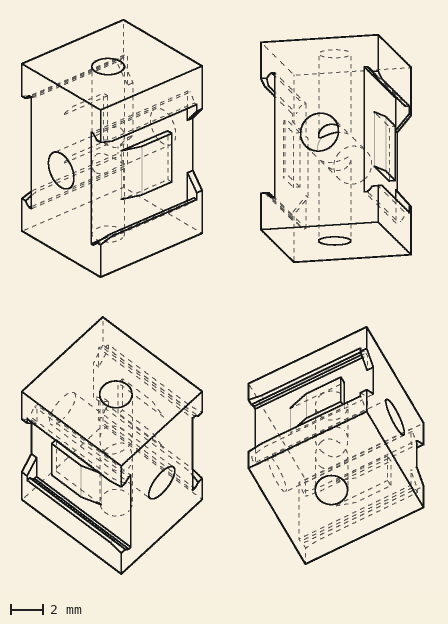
import cadquery as cq

width = 7.5
depth = 8.3
height = 12.0
half_width = width / 2
front_y = -depth / 2
back_y = depth / 2

groove_depth = 0.89
mouth_half_height = 3.41
floor_half_height = 4.0
lip_depth = 0.26
undercut_flat = 0.19
undercut_bulge = 0.05
floor_x = half_width - groove_depth

flare_length = 0.92
flare_rise = 0.26

wall_thickness = 0.45
gap_half_height_outer = 2.93
gap_half_height_inner = 1.88

pad_height = 0.41
pad_half_height = 1.74
pad_back_y = back_y - 2.06
pad_ramp_y = back_y - 4.51
pad_front_y = back_y - 5.85

cross_hole_diameter = 2.42
vertical_hole_diameter = 2.0
vertical_hole_y = -0.32


def extrude_along_y(profile, start_y, end_y):
    """Extrude a closed XZ profile between two Y positions."""
    return profile.extrude(start_y - end_y).translate((0, start_y, 0))


def groove():
    """Undercut groove on the +X side, open at the front."""
    lip_x = half_width - lip_depth
    flat_x = floor_x + undercut_flat
    arc_x = (lip_x + flat_x) / 2 + undercut_bulge
    arc_z = (mouth_half_height + floor_half_height) / 2 + undercut_bulge
    profile = (
        cq.Workplane("XZ")
        .moveTo(half_width, -mouth_half_height)
        .lineTo(half_width, mouth_half_height)
        .lineTo(lip_x, mouth_half_height)
        .threePointArc((arc_x, arc_z), (flat_x, floor_half_height))
        .lineTo(floor_x, floor_half_height)
        .lineTo(floor_x, -floor_half_height)
        .lineTo(flat_x, -floor_half_height)
        .threePointArc((arc_x, -arc_z), (lip_x, -mouth_half_height))
        .close()
    )
    return extrude_along_y(profile, front_y, back_y - wall_thickness)


def groove_flare():
    """Tapered widening of the groove at the front face."""
    flare_half_height = mouth_half_height + flare_rise
    flare_end_y = front_y + flare_length
    return (
        cq.Workplane("YZ", origin=(floor_x, 0, 0))
        .polyline([
            (front_y, -flare_half_height),
            (front_y, flare_half_height),
            (flare_end_y, mouth_half_height),
            (flare_end_y, -mouth_half_height),
        ])
        .close()
        .extrude(groove_depth)
    )


def wall_gap():
    """V-shaped gap through the end wall, narrowing towards the floor."""
    profile = (
        cq.Workplane("XZ")
        .polyline([
            (half_width, -gap_half_height_outer),
            (half_width, gap_half_height_outer),
            (floor_x, gap_half_height_inner),
            (floor_x, -gap_half_height_inner),
        ])
        .close()
    )
    return extrude_along_y(profile, back_y - wall_thickness, back_y)


def pad():
    """Raised pad on the +X groove floor."""
    pad_x = floor_x + pad_height
    return (
        cq.Workplane("XY")
        .polyline([
            (floor_x, pad_back_y),
            (pad_x, pad_back_y),
            (pad_x, pad_ramp_y),
            (floor_x, pad_front_y),
        ])
        .close()
        .extrude(pad_half_height, both=True)
    )


body = cq.Workplane("XY").box(width, depth, height)

side_cut = groove().union(groove_flare()).union(wall_gap())
side_pad = pad()
body = body.cut(side_cut).cut(side_cut.mirror("YZ"))
body = body.union(side_pad).union(side_pad.mirror("YZ"))

cross_hole = cq.Workplane("XZ").circle(cross_hole_diameter / 2).extrude(depth, both=True)
vertical_hole = (
    cq.Workplane("XY")
    .center(0, vertical_hole_y)
    .circle(vertical_hole_diameter / 2)
    .extrude(height, both=True)
)
result = body.cut(cross_hole).cut(vertical_hole)